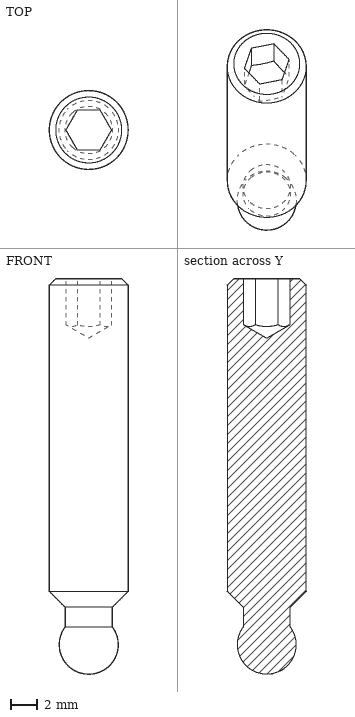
import cadquery as cq
import math

total_length = 30.0
body_radius = 6.0 / 2
top_chamfer = 0.5

ball_radius = 4.5 / 2
neck_radius = 3.6 / 2
neck_top = 5.1
shoulder_height = body_radius - neck_radius

socket_across_flats = 3.0
socket_depth = 3.5
drill_point_angle = 120.0


def make_body():
    """Revolve the half outline of ball, neck, shoulder and chamfered shank about Z."""
    ball_neck_z = ball_radius + math.sqrt(ball_radius**2 - neck_radius**2)
    outline = (
        cq.Workplane("XZ")
        .moveTo(0, 0)
        .threePointArc((ball_radius, ball_radius), (neck_radius, ball_neck_z))
        .lineTo(neck_radius, neck_top)
        .lineTo(body_radius, neck_top + shoulder_height)
        .lineTo(body_radius, total_length - top_chamfer)
        .lineTo(body_radius - top_chamfer, total_length)
        .lineTo(0, total_length)
        .close()
    )
    return outline.revolve(360, (0, 0), (0, 1))


def make_socket():
    """Hexagonal prism, corners on X, whose lower end is trimmed to a drill-point cone."""
    corner_radius = socket_across_flats / math.sqrt(3)
    cone_height = corner_radius / math.tan(math.radians(drill_point_angle / 2))
    cone_top = total_length - socket_depth
    cone_tip = cone_top - cone_height
    prism = (
        cq.Workplane("XY", origin=(0, 0, cone_tip))
        .polygon(6, 2 * corner_radius)
        .extrude(total_length - cone_tip)
    )
    drill = (
        cq.Workplane("XZ")
        .moveTo(0, cone_tip)
        .lineTo(corner_radius, cone_top)
        .lineTo(corner_radius, total_length)
        .lineTo(0, total_length)
        .close()
        .revolve(360, (0, 0), (0, 1))
    )
    return prism.intersect(drill)


result = make_body().cut(make_socket())